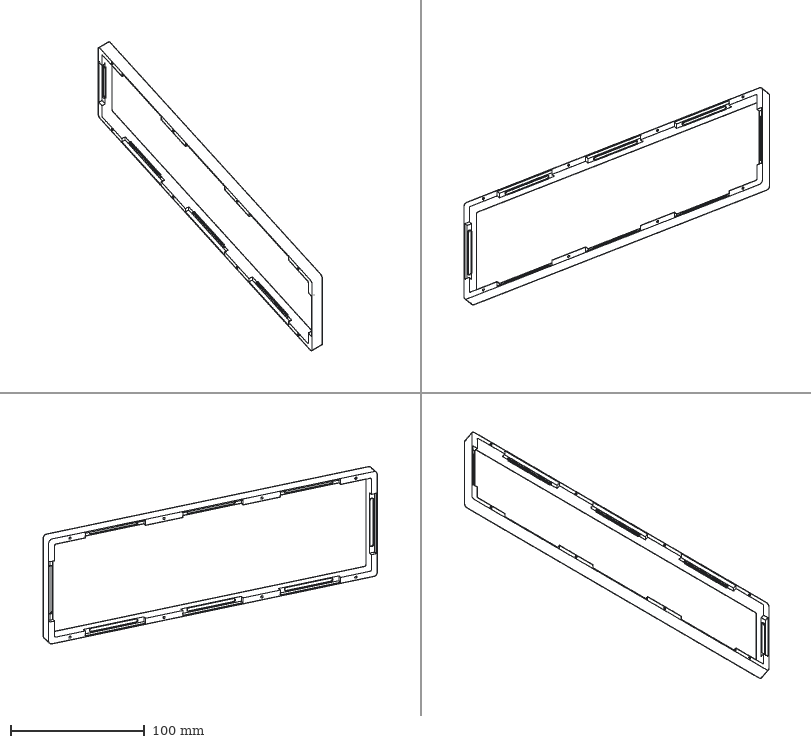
import cadquery as cq

frame_length = 272.89
frame_height = 87.15
frame_depth = 9.5
wall = 5.0
corner_radius = 3.0
window_radius = 1.0

recess_length = 50.0
recess_depth = 3.0
outer_lip = 1.0
recess_spacing = 81.0

slot_length = 40.0
slot_width = 3.0
slot_depth = 1.0

pilot_diameter = 1.62
pilot_depth = 5.0
inner_pilot_x = 40.65
outer_pilot_x = 118.7

front_y = -frame_depth / 2
recess_width = wall - outer_lip
recess_x = (-recess_spacing, 0, recess_spacing)


def front_plane(setback=0):
    """Sketch plane parallel to the front face; extruding by a negative length cuts into the part."""
    return cq.Workplane("XZ", origin=(0, front_y + setback, 0))


def make_frame():
    outer = front_plane().rect(frame_length, frame_height).extrude(-frame_depth)
    outer = outer.edges("|Y").fillet(corner_radius)
    window = front_plane().rect(frame_length - 2 * wall, frame_height - 2 * wall).extrude(-frame_depth)
    window = window.edges("|Y").fillet(window_radius)
    return outer.cut(window)


def make_seat(rail_offset):
    """Recess and slot for a rail above the origin whose outer face is at Z = rail_offset."""
    recess_z = rail_offset - outer_lip - recess_width / 2
    recess = front_plane().center(0, recess_z).rect(recess_length, recess_width).extrude(-recess_depth)
    slot = front_plane(recess_depth).center(0, recess_z).slot2D(slot_length, slot_width).extrude(-slot_depth)
    return recess.union(slot)


def turn(shape, angle):
    """Turn a shape about the Y axis, from one rail of the frame to another."""
    return shape.rotate((0, 0, 0), (0, 1, 0), angle)


def cut_seats(body):
    long_rail_seat = make_seat(frame_height / 2)
    short_rail_seat = make_seat(frame_length / 2)
    for x in recess_x:
        body = body.cut(long_rail_seat.translate((x, 0, 0)))
        body = body.cut(turn(long_rail_seat, 180).translate((x, 0, 0)))
    for angle in (90, -90):
        body = body.cut(turn(short_rail_seat, angle))
    return body


def cut_pilot_holes(body):
    rail_z = (frame_height - wall) / 2
    points = []
    for x in (-outer_pilot_x, -inner_pilot_x, inner_pilot_x, outer_pilot_x):
        points.append((x, rail_z))
        points.append((x, -rail_z))
    holes = front_plane().pushPoints(points).circle(pilot_diameter / 2).extrude(-pilot_depth)
    return body.cut(holes)


result = cut_pilot_holes(cut_seats(make_frame()))